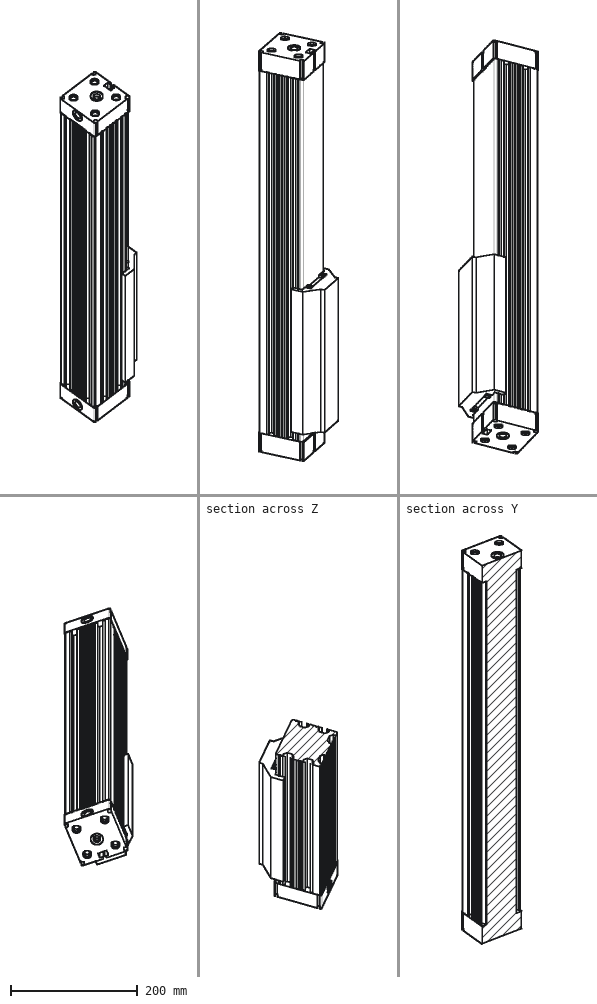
import cadquery as cq

LENGTH = 700.0
CAP_WIDTH = 78.0
CAP_DEPTH = 80.0
CAP_HEIGHT = 33.0
CAP_CORNER_RADIUS = 2.0
PROFILE_WIDTH = 77.0
PROFILE_FRONT_INSET = 1.0
PROFILE_BACK_INSET = 2.0
PROFILE_BACK_RADIUS = 3.5
PROFILE_FRONT_CHAMFER = 2.0

SLOT_MOUTH = 8.5
SLOT_LIP = 1.5
SLOT_CAVITY_WIDTH = 17.0
SLOT_CHAMFER = 4.0
SLOT_DEPTH = 9.0
FRONT_SLOT_OFFSET = 22.0
SIDE_SLOT_OFFSET = 17.0

SERRATION_COUNT = 8
SERRATION_PITCH = 2.95
V_GROOVE_DEPTH = 1.5
SIDE_GROOVES_Y = [-4.0, 8.5]
SIDE_GROOVE_WIDTH = 4.0
SIDE_MARK_Y = 2.0
SIDE_MARK_WIDTH = 1.0
UPPER_GROOVE_TOP = 31.5
UPPER_GROOVE_DEPTH = 2.0

PORT_STEPS = [(19.5, 1.5), (11.0, 7.0), (10.0, 14.0)]
END_PORT_Y = 4.0
FRONT_PORT_INSET = 12.0
BOLT_OFFSET = 24.0
BOLT_STEPS = [(13.0, 3.5), (10.0, 10.5)]
CORNER_HOLE_DIAMETER = 6.0
CORNER_HOLE_INSET_X = 2.45
CORNER_HOLE_INSET_Y = 4.0
NOTCH_WIDTH = 15.0
NOTCH_DEPTH = 12.0
NOTCH_MOUTH_WIDTH = 5.5
NOTCH_THROAT_WIDTH = 3.0
NOTCH_MOUTH_DEPTH = 3.5

CARRIAGE_BOTTOM = 50.5
CARRIAGE_LENGTH = 250.0
CARRIAGE_WIDTH = 92.0
CARRIAGE_TOP_WIDTH = 49.0
CARRIAGE_TOP_Y = 70.0
CARRIAGE_STEP = 6.0
CARRIAGE_LEG_Y = 22.0
END_RECESS_WIDTH = 57.5
END_RECESS_TOP_Y = 47.5
END_RECESS_DEPTH = 3.5
END_FOOT_WIDTH = 5.5
END_FOOT_OFFSET = 22.0
END_FOOT_GAP = 2.0

PROFILE_SIDE = PROFILE_WIDTH / 2
CAP_BACK = CAP_DEPTH / 2
PROFILE_FRONT = PROFILE_FRONT_INSET - CAP_BACK
PROFILE_BACK = CAP_BACK - PROFILE_BACK_INSET
PROFILE_DEPTH = PROFILE_BACK - PROFILE_FRONT
PROFILE_LENGTH = LENGTH - 2 * CAP_HEIGHT
CARRIAGE_TOP = CARRIAGE_BOTTOM + CARRIAGE_LENGTH


def run_along_profile(points):
    """Prism of a closed XY outline over the length of the profile."""
    return cq.Workplane("XY", origin=(0, 0, CAP_HEIGHT)).polyline(points).close().extrude(PROFILE_LENGTH)


def face_points(face, points):
    """Turn (position, depth) pairs on a profile face into XY points."""
    if face == "front":
        return [(position, PROFILE_FRONT + depth) for position, depth in points]
    side = -1 if face == "left" else 1
    return [(side * (PROFILE_SIDE - depth), position) for position, depth in points]


def t_slot(face, centre):
    """Undercut slot with bevelled corners between its walls and floor."""
    mouth = SLOT_MOUTH / 2
    cavity = SLOT_CAVITY_WIDTH / 2
    floor = cavity - SLOT_CHAMFER
    right_half = [
        (mouth, 0),
        (mouth, SLOT_LIP),
        (cavity, SLOT_LIP),
        (cavity, SLOT_DEPTH - SLOT_CHAMFER),
        (floor, SLOT_DEPTH),
    ]
    left_half = [(-position, depth) for position, depth in reversed(right_half)]
    outline = [(centre + position, depth) for position, depth in right_half + left_half]
    return run_along_profile(face_points(face, outline))


def v_groove(face, centre, width):
    outline = [(centre - width / 2, 0), (centre + width / 2, 0), (centre, V_GROOVE_DEPTH)]
    return run_along_profile(face_points(face, outline))


def upper_groove(face):
    """Shallow groove between a 45 degree upper wall and a square lower wall."""
    bottom = UPPER_GROOVE_TOP - UPPER_GROOVE_DEPTH
    outline = [(UPPER_GROOVE_TOP, 0), (bottom, UPPER_GROOVE_DEPTH), (bottom, 0)]
    return run_along_profile(face_points(face, outline))


def make_profile():
    profile = (
        cq.Workplane("XY", origin=(0, (PROFILE_FRONT + PROFILE_BACK) / 2, CAP_HEIGHT))
        .rect(PROFILE_WIDTH, PROFILE_DEPTH)
        .extrude(PROFILE_LENGTH)
        .edges("|Z and >Y")
        .fillet(PROFILE_BACK_RADIUS)
        .edges("|Z and <Y")
        .chamfer(PROFILE_FRONT_CHAMFER)
    )
    for side in (-1, 1):
        profile = profile.cut(t_slot("front", side * FRONT_SLOT_OFFSET))
    for index in range(SERRATION_COUNT):
        centre = (index - (SERRATION_COUNT - 1) / 2) * SERRATION_PITCH
        profile = profile.cut(v_groove("front", centre, SERRATION_PITCH))
    for face in ("left", "right"):
        profile = profile.cut(upper_groove(face))
        profile = profile.cut(v_groove(face, SIDE_MARK_Y, SIDE_MARK_WIDTH))
        for centre in (-SIDE_SLOT_OFFSET, SIDE_SLOT_OFFSET):
            profile = profile.cut(t_slot(face, centre))
        for centre in SIDE_GROOVES_Y:
            profile = profile.cut(v_groove(face, centre, SIDE_GROOVE_WIDTH))
    return profile


def stepped_holes(plane, points, steps):
    """Coaxial blind holes that start on a plane and run against its normal."""
    holes = cq.Workplane(plane)
    for diameter, depth in steps:
        holes = holes.union(cq.Workplane(plane).pushPoints(points).circle(diameter / 2).extrude(-depth))
    return holes


def cap_notch(base):
    """Rectangular channel behind a mouth that narrows inwards, through the whole cap."""
    throat_y = CAP_BACK - NOTCH_MOUTH_DEPTH
    floor_y = CAP_BACK - NOTCH_DEPTH
    right_half = [
        (NOTCH_MOUTH_WIDTH / 2, CAP_BACK),
        (NOTCH_THROAT_WIDTH / 2, throat_y),
        (NOTCH_WIDTH / 2, throat_y),
        (NOTCH_WIDTH / 2, floor_y),
    ]
    left_half = [(-x, y) for x, y in reversed(right_half)]
    return (
        cq.Workplane("XY", origin=(0, 0, base))
        .polyline(right_half + left_half)
        .close()
        .extrude(CAP_HEIGHT)
    )


def make_top_cap():
    base = LENGTH - CAP_HEIGHT
    cap = (
        cq.Workplane("XY", origin=(0, 0, base))
        .rect(CAP_WIDTH, CAP_DEPTH)
        .extrude(CAP_HEIGHT)
        .edges("|Z")
        .fillet(CAP_CORNER_RADIUS)
    )
    corner_holes = (
        cq.Workplane("XY", origin=(0, 0, base))
        .rect(CAP_WIDTH - 2 * CORNER_HOLE_INSET_X, CAP_DEPTH - 2 * CORNER_HOLE_INSET_Y, forConstruction=True)
        .vertices()
        .circle(CORNER_HOLE_DIAMETER / 2)
        .extrude(CAP_HEIGHT)
    )
    end_plane = cq.Plane(origin=(0, 0, LENGTH), xDir=(1, 0, 0), normal=(0, 0, 1))
    front_port = (0, -CAP_BACK, LENGTH - FRONT_PORT_INSET)
    front_plane = cq.Plane(origin=front_port, xDir=(1, 0, 0), normal=(0, -1, 0))
    bolt_points = [(x, y) for x in (-BOLT_OFFSET, BOLT_OFFSET) for y in (-BOLT_OFFSET, BOLT_OFFSET)]
    cap = cap.cut(corner_holes).cut(cap_notch(base))
    cap = cap.cut(stepped_holes(end_plane, [(0, END_PORT_Y)], PORT_STEPS))
    cap = cap.cut(stepped_holes(front_plane, [(0, 0)], PORT_STEPS))
    return cap.cut(stepped_holes(end_plane, bolt_points, BOLT_STEPS))


def make_housing():
    """Slotted profile closed by two mirrored end caps, as one solid."""
    top_cap = make_top_cap()
    bottom_cap = top_cap.mirror("XY", (0, 0, LENGTH / 2))
    return make_profile().union(top_cap).union(bottom_cap)


def end_recess(base):
    """Shallow pocket in a carriage end, interrupted by two feet."""
    height = END_RECESS_TOP_Y - PROFILE_BACK
    plane = cq.Workplane("XY", origin=(0, PROFILE_BACK + height / 2, base))
    pocket = plane.rect(END_RECESS_WIDTH, height).extrude(END_RECESS_DEPTH)
    feet = (
        plane.pushPoints([(x, -END_FOOT_GAP / 2) for x in (-END_FOOT_OFFSET, END_FOOT_OFFSET)])
        .rect(END_FOOT_WIDTH, height - END_FOOT_GAP)
        .extrude(END_RECESS_DEPTH)
    )
    return pocket.cut(feet)


def make_carriage():
    """Saddle that straddles the back of the profile, with 45 degree shoulders."""
    outer = CARRIAGE_WIDTH / 2
    top = CARRIAGE_TOP_WIDTH / 2
    shoulder_top = CARRIAGE_TOP_Y - CARRIAGE_STEP
    shoulder_bottom = shoulder_top - (outer - top)
    right_half = [
        (PROFILE_SIDE, PROFILE_BACK),
        (PROFILE_SIDE, CARRIAGE_LEG_Y),
        (outer, CARRIAGE_LEG_Y),
        (outer, shoulder_bottom),
        (top, shoulder_top),
        (top, CARRIAGE_TOP_Y),
    ]
    left_half = [(-x, y) for x, y in reversed(right_half)]
    saddle = (
        cq.Workplane("XY", origin=(0, 0, CARRIAGE_BOTTOM))
        .polyline(right_half + left_half)
        .close()
        .extrude(CARRIAGE_LENGTH)
    )
    for base in (CARRIAGE_BOTTOM, CARRIAGE_TOP - END_RECESS_DEPTH):
        saddle = saddle.cut(end_recess(base))
    return saddle


housing = make_housing()
carriage = make_carriage()

result = cq.Compound.makeCompound([housing.val(), carriage.val()])